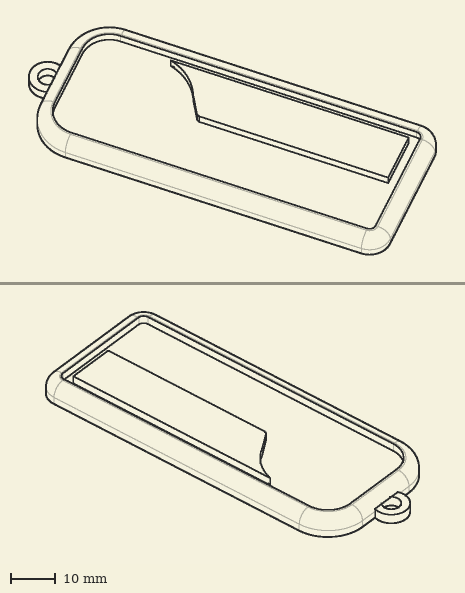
import cadquery as cq

overall_length = 91.9
body_width = 36.2
body_height = 5.0

loop_end_corner_radius = 10.0
far_end_corner_radius = 5.0
top_edge_radius = 3.0

rim_flat_width = 0.5
tray_depth = 2.0
rim_width = top_edge_radius + rim_flat_width
floor_height = body_height - tray_depth

loop_reach = 5.6
loop_hole_diameter = 4.4
loop_wall = 2.0
loop_height = 2.5
loop_center_y = -0.4
loop_outer_radius = loop_hole_diameter / 2 + loop_wall

panel_height = 2.0
panel_far_margin = 6.0
panel_bottom_y = 0.4
panel_top_y = 12.5
panel_top_start = 23.1
panel_bottom_start = 34.8

arc_middle = (27.6, 10.2)
arc_end = (31.4, 5.2)
slant_end = (34.2, 0.6)

body_length = overall_length - loop_reach
body_left = -body_length / 2
body_right = body_length / 2


def rounded_tag(inset, bottom, height):
    """Block with the tag outline moved inward by inset, corners included."""
    return (
        cq.Workplane("XY")
        .workplane(offset=bottom)
        .rect(body_length - 2 * inset, body_width - 2 * inset)
        .extrude(height)
        .edges("|Z and <X")
        .fillet(loop_end_corner_radius - inset)
        .edges("|Z and >X")
        .fillet(far_end_corner_radius - inset)
    )


def make_body():
    """Tag with a rounded top edge and a flat-floored tray."""
    tag = rounded_tag(0, 0, body_height).faces(">Z").edges().fillet(top_edge_radius)
    return tag.cut(rounded_tag(rim_width, floor_height, tray_depth))


def loop_cylinder(radius):
    """Upright cylinder on the key loop axis, as tall as the loop."""
    center_x = body_left - loop_reach + loop_outer_radius
    return cq.Workplane("XY").center(center_x, loop_center_y).circle(radius).extrude(loop_height)


def from_loop_end(point):
    """Shift a point measured from the loop end of the body to part coordinates."""
    return (body_left + point[0], point[1])


def make_panel():
    """Raised panel with a curved edge toward the loop."""
    panel_right = body_right - panel_far_margin
    return (
        cq.Workplane("XY")
        .workplane(offset=floor_height)
        .moveTo(panel_right, panel_bottom_y)
        .lineTo(panel_right, panel_top_y)
        .lineTo(*from_loop_end((panel_top_start, panel_top_y)))
        .threePointArc(from_loop_end(arc_middle), from_loop_end(arc_end))
        .lineTo(*from_loop_end(slant_end))
        .lineTo(*from_loop_end((panel_bottom_start, panel_bottom_y)))
        .close()
        .extrude(panel_height)
    )


tag_with_loop = make_body().union(loop_cylinder(loop_outer_radius))
tag_with_hole = tag_with_loop.cut(loop_cylinder(loop_hole_diameter / 2))

result = tag_with_hole.union(make_panel())